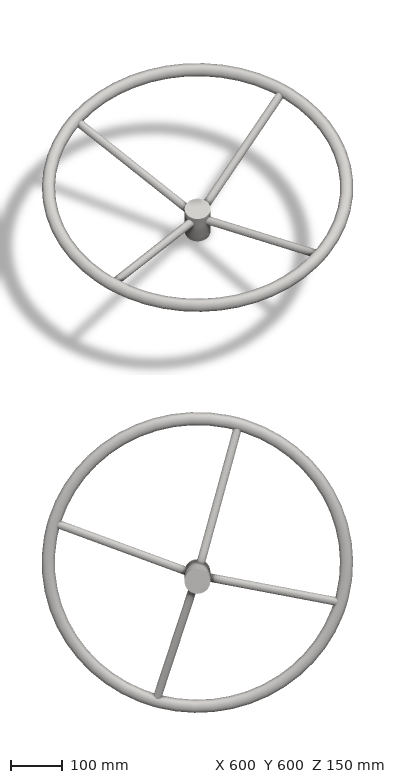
import cadquery as cq

wheel_diameter = 600.0
wheel_height = 150.0

rim_tube_diameter = 25.0
spoke_diameter = 16.0
spoke_count = 4
spoke_pitch = 360 / spoke_count

hub_diameter = 50.0
hub_height = 70.0
pin_hole_diameter = 6.0
pin_hole_height = 10.0

spoke_root_height = 44.5

rim_radius = (wheel_diameter - rim_tube_diameter) / 2
rim_height = wheel_height - rim_tube_diameter / 2


def make_hub():
    """Plain round hub standing on the XY plane."""
    return cq.Workplane("XY").circle(hub_diameter / 2).extrude(hub_height)


def make_rim():
    """Ring of round tube, its seam turned to lie midway between two spokes."""
    tube = cq.Workplane("XZ").center(rim_radius, rim_height).circle(rim_tube_diameter / 2)
    ring = tube.revolve(360, (-rim_radius, 0), (-rim_radius, 1))
    return ring.rotate((0, 0, 0), (0, 0, 1), spoke_pitch / 2)


def make_spoke():
    """Straight rod toward +X, rising from the wheel axis to the centre of the rim tube."""
    root = cq.Vector(0, 0, spoke_root_height)
    tip = cq.Vector(rim_radius, 0, rim_height)
    direction = tip - root
    rod = cq.Solid.makeCylinder(spoke_diameter / 2, direction.Length, root, direction)
    return cq.Workplane(obj=rod).rotate(root, tip, 180)


def make_pin_hole():
    """Cylinder along X that passes right through the lower end of the hub."""
    return (
        cq.Workplane("YZ")
        .center(0, pin_hole_height)
        .circle(pin_hole_diameter / 2)
        .extrude(hub_diameter, both=True)
    )


result = make_hub()
spoke = make_spoke()
for index in range(spoke_count):
    turned_spoke = spoke.rotate((0, 0, 0), (0, 0, 1), index * spoke_pitch)
    result = result.union(turned_spoke, clean=False)
result = result.union(make_rim(), clean=False)
result = result.cut(make_pin_hole(), clean=False)